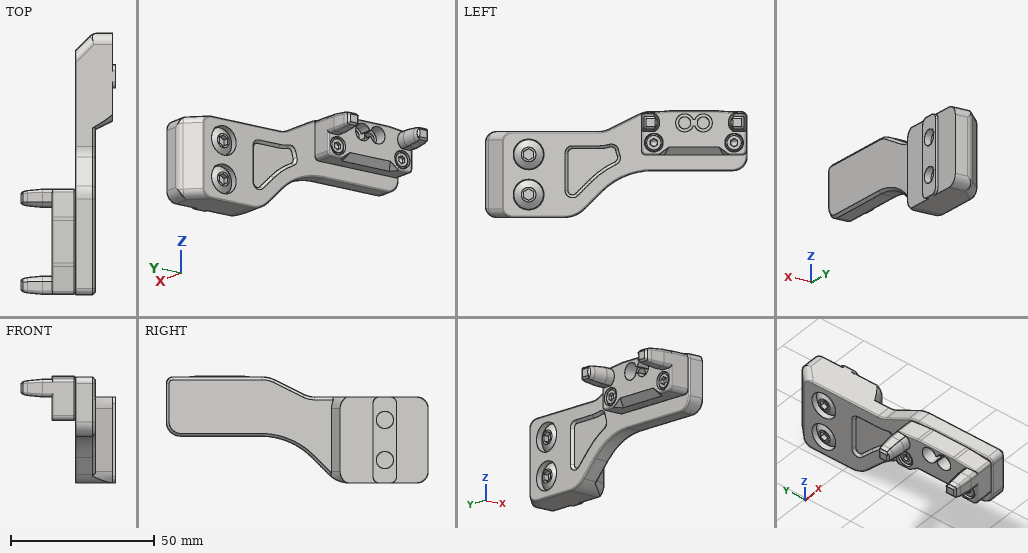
import cadquery as cq
import math


ARM_LENGTH = 91.3
ARM_THICKNESS = 7.0
PAD_THICKNESS = 13.0
PAD_HEIGHT = 30.0
NARROW_TOP = 37.0
NARROW_BOTTOM = 16.3
TOP_STEP_START = 35.8
TOP_STEP_END = TOP_STEP_START + 2 * (NARROW_TOP - PAD_HEIGHT)
BOTTOM_STEP_START = 43.35
BOTTOM_STEP_END = BOTTOM_STEP_START + NARROW_BOTTOM
TOP_STEP_RADII = (10.0, 8.0)
BOTTOM_STEP_RADII = (25.0, 10.0)
NARROW_TOP_RADIUS = 2.3
NARROW_BOTTOM_RADIUS = 5.0
BACK_CHAMFER = 1.0
FRONT_FILLET = 0.5

PAD_SLOPE_BACK_Y = 60.6
PAD_SLOPE_RUN_PER_DEPTH = 0.5
END_CHAMFER = 6.2
END_CORNER_RADIUS = 4.0
CHAMFER_CORNER_RADIUS = 3.0
SLOPE_CORNER_RADIUS = 4.6
SLOPE_CORNER_INSET = 4.0

KEY_WIDTH = 8.2
KEY_DEPTH = 1.1
KEY_RADIUS = 2.2

POCKET_BORDER = 5.0
POCKET_WIDE_Y = 63.5
POCKET_TOP_Y = 45.5
POCKET_TOP_Z = 25.9
POCKET_LOW_Y = 43.6
POCKET_LOW_Z = 19.0
POCKET_RADIUS = 2.6
POCKET_DEPTH = 1.0

LARGE_Y = 76.2
LARGE_ZS = (8.0, 22.0)
LARGE_HEAD_DIAMETER = 10.3
LARGE_BORE_DIAMETER = 10.7
LARGE_BORE_DEPTH = 3.3
LARGE_HEAD_HEIGHT = 3.0
LARGE_RIM_HEIGHT = 1.0
LARGE_CROWN_DIAMETER = 5.1
DOME_MIDDLE_DROP = 0.85
LARGE_SHANK_DIAMETER = 6.0
LARGE_SHANK_LENGTH = 8.0
LARGE_HEX = 3.5
LARGE_HEX_DEPTH = 2.0

CLIP_WIDTH = 36.7
CLIP_CENTER_Y = 18.55
CLIP_DEPTH = 8.2
CLIP_TOP = 37.3
CLIP_BOTTOM = 21.8
CLIP_SHOULDER_Z = 36.2
CLIP_FLAT_HALF = 8.0
ROOF_RADIUS = 12.0
CLIP_TOP_RADIUS = 1.1
CLIP_BOTTOM_RADIUS = 1.7
CLIP_FRONT_FILLET = 0.5
CLIP_BACK_CHAMFER = 0.5

RELIEF_HEIGHT = 2.7
RELIEF_TOP_HALF = 8.75
RELIEF_FRONT_HALF = 12.5
RELIEF_BACK_HALF = 10.3

PAIR_SPACING = 6.5
PAIR_Z = 33.0
PAIR_DIAMETER = 6.3
PAIR_DEPTH = 5.0
PAIR_INNER_DIAMETER = 4.2
LINK_HEIGHT = 2.2

PRONG_REACH = 19.0
PRONG_WIDTH = 6.4
PRONG_BOTTOM = 30.0
PRONG_HEIGHT = CLIP_SHOULDER_Z - PRONG_BOTTOM
PRONG_OUTER_RADIUS = 1.1
PRONG_BOW = 1.85
PRONG_STRAIGHT_END = 11.5
PRONG_TAPER_END = 16.7
PRONG_TAPER_INSET = 0.5
PRONG_NOSE_END = 18.3
PRONG_NOSE_INSET = 0.9
PRONG_TIP_INSET = 1.7

SMALL_SPACING = 28.0
SMALL_Z = 26.1
SMALL_HEAD_DIAMETER = 6.0
SMALL_BORE_DIAMETER = 6.5
SMALL_BORE_DEPTH = 3.5
SMALL_HEAD_HEIGHT = 3.2
SMALL_HEAD_CHAMFER = 0.5
SMALL_SHANK_DIAMETER = 3.0
SMALL_SHANK_LENGTH = 9.0
SMALL_HEX = 2.5
SMALL_HEX_DEPTH = 1.2

LARGE_POINTS = [(LARGE_Y, z) for z in LARGE_ZS]
SMALL_SEAT_X = SMALL_BORE_DEPTH - CLIP_DEPTH
SMALL_POINTS = [(CLIP_CENTER_Y + side * SMALL_SPACING / 2, SMALL_Z) for side in (-1, 1)]


def depth_plane(x):
    """Sketch plane at depth x, with local axes along Y and Z and extrusion along +X."""
    return cq.Workplane("YZ", origin=(x, 0, 0))


def round_corner(body, y, z, radius):
    """Round the edge along X that passes nearest to (y, z)."""
    middle_x = body.val().Center().x
    return body.edges("|X").edges(cq.NearestToPointSelector((middle_x, y, z))).fillet(radius)


def cylinders(points, x_start, x_end, diameter):
    return depth_plane(x_start).pushPoints(points).circle(diameter / 2).extrude(x_end - x_start)


def arm_prism(thickness):
    """Outline of the arm with its stepped edges rounded."""
    steps = [
        (TOP_STEP_START, NARROW_TOP, TOP_STEP_RADII[0]),
        (TOP_STEP_END, PAD_HEIGHT, TOP_STEP_RADII[1]),
        (BOTTOM_STEP_END, 0, BOTTOM_STEP_RADII[1]),
        (BOTTOM_STEP_START, NARROW_BOTTOM, BOTTOM_STEP_RADII[0]),
        (0, NARROW_BOTTOM, NARROW_BOTTOM_RADIUS),
        (0, NARROW_TOP, NARROW_TOP_RADIUS),
    ]
    outline = [(y, z) for y, z, _ in steps]
    wide_end = [(ARM_LENGTH, PAD_HEIGHT), (ARM_LENGTH, 0)]
    prism = depth_plane(0).polyline(outline[:2] + wide_end + outline[2:]).close().extrude(thickness)
    for y, z, radius in steps:
        prism = round_corner(prism, y, z, radius)
    return prism


def pad_end_block():
    """Wide end with its two end corners rounded."""
    block = cq.Workplane("XY").box(PAD_THICKNESS, ARM_LENGTH, PAD_HEIGHT, centered=False)
    return block.faces(">Y").edges("|X").fillet(END_CORNER_RADIUS)


def pad_chamfer_block():
    """Wide end with its large front chamfer, which has its own rounded edges."""
    plan = [
        (0, 0),
        (PAD_THICKNESS, 0),
        (PAD_THICKNESS, ARM_LENGTH),
        (END_CHAMFER, ARM_LENGTH),
        (0, ARM_LENGTH - END_CHAMFER),
    ]
    block = cq.Workplane("XY").polyline(plan).close().extrude(PAD_HEIGHT)
    chamfer_edge = cq.NearestToPointSelector((END_CHAMFER, ARM_LENGTH, PAD_HEIGHT / 2))
    block = block.edges("|Z").edges(chamfer_edge).fillet(END_CORNER_RADIUS)
    middle = (END_CHAMFER / 2, ARM_LENGTH - END_CHAMFER / 2)
    for z in (0, PAD_HEIGHT):
        block = block.edges(cq.NearestToPointSelector((*middle, z))).fillet(CHAMFER_CORNER_RADIUS)
    return block


def pad_slope_block():
    """Rounded block that widens towards the front, so its corners are conical."""
    sections = []
    for x in (0, PAD_THICKNESS):
        growth = (PAD_THICKNESS - x) * PAD_SLOPE_RUN_PER_DEPTH
        radius = SLOPE_CORNER_RADIUS + growth
        low_y = PAD_SLOPE_BACK_Y - growth
        high_y = 2 * ARM_LENGTH - low_y
        height = PAD_HEIGHT - 2 * SLOPE_CORNER_INSET + 2 * radius
        outline = depth_plane(x).center(ARM_LENGTH, PAD_HEIGHT / 2)
        outline = outline.rect(high_y - low_y, height).extrude(1).edges("|X").fillet(radius)
        sections.append(outline.faces("<X").wires().val())
    return cq.Workplane(cq.Solid.makeLoft(sections, True))


def make_pad():
    """Thick wide end: chamfered at the front, sloping down to the thin arm at the back."""
    pad = pad_end_block().intersect(pad_chamfer_block())
    return pad.intersect(pad_slope_block()).intersect(arm_prism(PAD_THICKNESS))


def make_pocket():
    """Window recess between the arm's two stepped edges, at a constant border from them."""
    top_turn = math.atan2(NARROW_TOP - PAD_HEIGHT, TOP_STEP_END - TOP_STEP_START)
    bottom_turn = math.atan2(NARROW_BOTTOM, BOTTOM_STEP_END - BOTTOM_STEP_START)
    top_z = PAD_HEIGHT - POCKET_BORDER
    top_corner = (TOP_STEP_END - POCKET_BORDER * math.tan(top_turn / 2), top_z)
    bottom_corner = (
        BOTTOM_STEP_START + POCKET_BORDER * math.tan(bottom_turn / 2),
        NARROW_BOTTOM + POCKET_BORDER,
    )
    wide_bottom_z = bottom_corner[1] - (POCKET_WIDE_Y - bottom_corner[0]) * math.tan(bottom_turn)
    slope_end_z = top_z + top_corner[0] * math.tan(top_turn)
    band = [
        (POCKET_WIDE_Y, wide_bottom_z),
        (POCKET_WIDE_Y, top_z),
        top_corner,
        (0, slope_end_z),
        (0, bottom_corner[1]),
        bottom_corner,
    ]
    window = depth_plane(0).polyline(band).close().extrude(POCKET_DEPTH, both=True)
    window = round_corner(window, *top_corner, TOP_STEP_RADII[1] + POCKET_BORDER)
    window = round_corner(window, *bottom_corner, BOTTOM_STEP_RADII[0] + POCKET_BORDER)

    slant = (POCKET_TOP_Y - POCKET_LOW_Y) / (POCKET_TOP_Z - POCKET_LOW_Z)
    limits = [
        (POCKET_WIDE_Y, 0),
        (POCKET_WIDE_Y, PAD_HEIGHT),
        (POCKET_TOP_Y + slant * (PAD_HEIGHT - POCKET_TOP_Z), PAD_HEIGHT),
        (POCKET_LOW_Y - slant * POCKET_LOW_Z, 0),
    ]
    window = window.intersect(depth_plane(0).polyline(limits).close().extrude(POCKET_DEPTH, both=True))
    corners = [
        (POCKET_WIDE_Y, wide_bottom_z),
        (POCKET_WIDE_Y, top_z),
        (POCKET_TOP_Y, POCKET_TOP_Z),
        (POCKET_LOW_Y, POCKET_LOW_Z),
    ]
    for y, z in corners:
        window = round_corner(window, y, z, POCKET_RADIUS)
    return window.faces(">X").edges().chamfer(POCKET_DEPTH)


def make_arm():
    thin = arm_prism(ARM_THICKNESS).faces(">X").edges().chamfer(BACK_CHAMFER)
    thin = thin.intersect(depth_plane(0).rect(2 * LARGE_Y, 2 * NARROW_TOP).extrude(ARM_THICKNESS))
    arm = thin.union(make_pad())
    arm = arm.faces("<X").edges().fillet(FRONT_FILLET)

    key = depth_plane(PAD_THICKNESS).center(LARGE_Y, PAD_HEIGHT / 2)
    key = key.rect(KEY_WIDTH, PAD_HEIGHT).extrude(KEY_DEPTH).edges("|X").fillet(KEY_RADIUS)
    arm = arm.union(key).cut(make_pocket())

    large_hole_end = PAD_THICKNESS + KEY_DEPTH
    arm = arm.cut(cylinders(LARGE_POINTS, 0, LARGE_BORE_DEPTH, LARGE_BORE_DIAMETER))
    arm = arm.cut(cylinders(LARGE_POINTS, 0, large_hole_end, LARGE_SHANK_DIAMETER))
    small_hole_end = SMALL_SEAT_X + SMALL_SHANK_LENGTH
    return arm.cut(cylinders(SMALL_POINTS, 0, small_hole_end, SMALL_SHANK_DIAMETER))


def make_large_screw(y, z):
    """Button-head screw whose head sits below the arm's front face."""
    rim_x = LARGE_BORE_DEPTH - LARGE_RIM_HEIGHT
    crown_x = LARGE_BORE_DEPTH - LARGE_HEAD_HEIGHT
    head_radius = LARGE_HEAD_DIAMETER / 2
    crown_radius = LARGE_CROWN_DIAMETER / 2
    shank_radius = LARGE_SHANK_DIAMETER / 2
    shank_end = LARGE_BORE_DEPTH + LARGE_SHANK_LENGTH
    dome_middle = (crown_x + DOME_MIDDLE_DROP, (head_radius + crown_radius) / 2)
    profile = (
        cq.Workplane("XY")
        .moveTo(crown_x, 0)
        .lineTo(crown_x, crown_radius)
        .threePointArc(dome_middle, (rim_x, head_radius))
        .lineTo(LARGE_BORE_DEPTH, head_radius)
        .lineTo(LARGE_BORE_DEPTH, shank_radius)
        .lineTo(shank_end, shank_radius)
        .lineTo(shank_end, 0)
        .close()
    )
    screw = profile.revolve(360, (0, 0, 0), (1, 0, 0))
    screw = screw.cut(hex_socket(crown_x, LARGE_HEX, LARGE_HEX_DEPTH))
    return screw.translate((0, y, z))


def make_small_screw(y, z):
    """Socket-head screw that clamps the clip to the arm."""
    head_x = SMALL_SEAT_X - SMALL_HEAD_HEIGHT
    origin = [(0, 0)]
    screw = cylinders(origin, head_x, SMALL_SEAT_X, SMALL_HEAD_DIAMETER)
    screw = screw.faces("<X").chamfer(SMALL_HEAD_CHAMFER)
    shank_end = SMALL_SEAT_X + SMALL_SHANK_LENGTH
    screw = screw.union(cylinders(origin, SMALL_SEAT_X, shank_end, SMALL_SHANK_DIAMETER))
    screw = screw.cut(hex_socket(head_x, SMALL_HEX, SMALL_HEX_DEPTH))
    drill_radius = SMALL_HEX / 2
    drill_start = cq.Vector(head_x + SMALL_HEX_DEPTH, 0, 0)
    screw = screw.cut(cq.Solid.makeCone(drill_radius, 0, drill_radius, drill_start, cq.Vector(1, 0, 0)))
    return screw.translate((0, y, z))


def hex_socket(x, across_flats, depth):
    """Hexagonal recess with its vertices up and down."""
    across_corners = across_flats / math.cos(math.pi / 6)
    plane = depth_plane(x).transformed(rotate=(0, 0, 90))
    return plane.polygon(6, across_corners).extrude(depth)


def make_prong(side):
    """Tapered prong at one end of the clip (side is -1 or 1), with its rounder face inwards."""
    outer_y = CLIP_CENTER_Y + side * CLIP_WIDTH / 2
    center = (outer_y - side * PRONG_WIDTH / 2, PRONG_BOTTOM + PRONG_HEIGHT / 2)
    stations = [
        (CLIP_DEPTH / 2, 0),
        (PRONG_STRAIGHT_END, 0),
        (PRONG_TAPER_END, PRONG_TAPER_INSET),
        (PRONG_NOSE_END, PRONG_NOSE_INSET),
        (PRONG_REACH, PRONG_TIP_INSET),
    ]
    prong = None
    for (root, root_inset), (end, end_inset) in zip(stations, stations[1:]):
        sections = [
            prong_section(root, root_inset, center, side),
            prong_section(end, end_inset, center, side),
        ]
        segment = cq.Workplane(cq.Solid.makeLoft(sections, True))
        prong = prong.union(segment) if prong else segment
    return prong


def prong_section(reach, inset, center, side):
    """Wire at a distance in front of the arm: rounded outer corners and a bowed inner side."""
    center_y, center_z = center
    half_width = PRONG_WIDTH / 2 - inset
    half_height = PRONG_HEIGHT / 2 - inset
    radius = PRONG_OUTER_RADIUS - inset / 2
    diagonal = radius * (1 - math.sqrt(0.5))
    outer = half_width
    bow_start = PRONG_BOW * (1 - inset / half_height) - half_width

    def point(y, z):
        return (center_y + side * y, center_z + z)

    return (
        depth_plane(-reach)
        .moveTo(*point(bow_start, -half_height))
        .lineTo(*point(outer - radius, -half_height))
        .threePointArc(point(outer - diagonal, diagonal - half_height), point(outer, radius - half_height))
        .lineTo(*point(outer, half_height - radius))
        .threePointArc(point(outer - diagonal, half_height - diagonal), point(outer - radius, half_height))
        .lineTo(*point(bow_start, half_height))
        .threePointArc(point(-half_width, 0), point(bow_start, -half_height))
        .close()
        .val()
    )


def make_relief():
    """Wedge under the clip: a 45 degree slope closed by two slanted ends."""
    front_x = -CLIP_DEPTH
    back_x = front_x + RELIEF_HEIGHT
    bottom_front = [(front_x, CLIP_CENTER_Y + s * RELIEF_FRONT_HALF, CLIP_BOTTOM) for s in (-1, 1)]
    top_front = [
        (front_x, CLIP_CENTER_Y + s * RELIEF_TOP_HALF, CLIP_BOTTOM + RELIEF_HEIGHT) for s in (-1, 1)
    ]
    bottom_back = [(back_x, CLIP_CENTER_Y + s * RELIEF_BACK_HALF, CLIP_BOTTOM) for s in (-1, 1)]
    outlines = [
        [bottom_front[0], bottom_front[1], top_front[1], top_front[0]],
        [bottom_front[0], bottom_front[1], bottom_back[1], bottom_back[0]],
        [top_front[0], top_front[1], bottom_back[1], bottom_back[0]],
        [bottom_front[0], top_front[0], bottom_back[0]],
        [bottom_front[1], top_front[1], bottom_back[1]],
    ]
    faces = [cq.Face.makeFromWires(cq.Wire.makePolygon(points, close=True)) for points in outlines]
    return cq.Workplane(cq.Solid.makeSolid(cq.Shell.makeShell(faces)))


def make_clip():
    left = CLIP_CENTER_Y + CLIP_WIDTH / 2
    right = CLIP_CENTER_Y - CLIP_WIDTH / 2
    roof_left = CLIP_CENTER_Y + CLIP_FLAT_HALF
    roof_right = CLIP_CENTER_Y - CLIP_FLAT_HALF
    corners = [
        (left, CLIP_SHOULDER_Z, CLIP_TOP_RADIUS),
        (roof_left, CLIP_TOP, ROOF_RADIUS),
        (roof_right, CLIP_TOP, ROOF_RADIUS),
        (right, CLIP_SHOULDER_Z, CLIP_TOP_RADIUS),
        (right, CLIP_BOTTOM, CLIP_BOTTOM_RADIUS),
        (left, CLIP_BOTTOM, CLIP_BOTTOM_RADIUS),
    ]
    outline = [(y, z) for y, z, _ in corners]
    clip = depth_plane(-CLIP_DEPTH).polyline(outline).close().extrude(CLIP_DEPTH)
    for y, z, radius in corners:
        clip = round_corner(clip, y, z, radius)
    clip = clip.faces("<X").edges().fillet(CLIP_FRONT_FILLET)
    clip = clip.faces(">X").edges().chamfer(CLIP_BACK_CHAMFER)
    clip = clip.cut(make_relief())
    for side in (-1, 1):
        clip = clip.union(make_prong(side))

    bore_end = PAIR_DEPTH - CLIP_DEPTH
    pair = [(CLIP_CENTER_Y + side * PAIR_SPACING / 2, PAIR_Z) for side in (-1, 1)]
    link = depth_plane(-CLIP_DEPTH).center(CLIP_CENTER_Y, PAIR_Z)
    clip = clip.cut(link.rect(PAIR_SPACING / 2, LINK_HEIGHT).extrude(PAIR_DEPTH))
    clip = clip.cut(cylinders(pair, -CLIP_DEPTH, bore_end, PAIR_DIAMETER))
    clip = clip.cut(cylinders(pair, bore_end, 0, PAIR_INNER_DIAMETER))

    clip = clip.cut(cylinders(SMALL_POINTS, -CLIP_DEPTH, SMALL_SEAT_X, SMALL_BORE_DIAMETER))
    return clip.cut(cylinders(SMALL_POINTS, SMALL_SEAT_X, 0, SMALL_SHANK_DIAMETER))


arm = make_arm()
clip = make_clip()
large_screws = [make_large_screw(y, z).val() for y, z in LARGE_POINTS]
small_screws = [make_small_screw(y, z).val() for y, z in SMALL_POINTS]

result = cq.Compound.makeCompound([arm.val(), clip.val(), *large_screws, *small_screws])